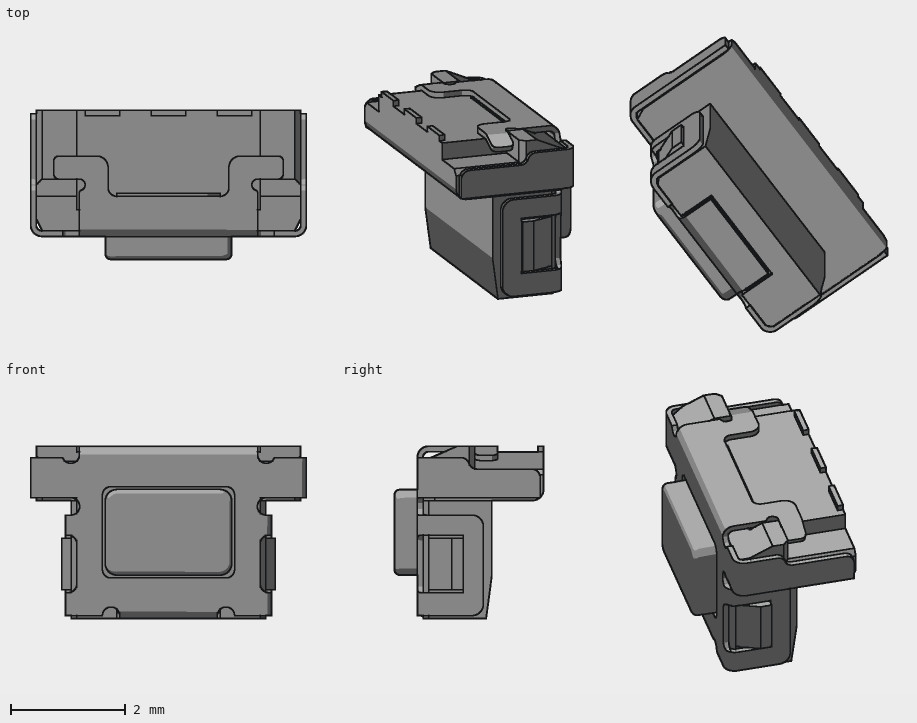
import cadquery as cq
import math


sheet = 0.1
bend_outer = 0.2
bend_inner = bend_outer - sheet
relief_radius = 0.15

upper_half_width = 2.4
upper_bottom = 2.1
upper_top = 2.8
upper_depth = 2.14
upper_wall_rear_top = 2.6
step_center_y = 1.04
step_radius = 0.15

lower_half_width = 1.795
lower_bottom = 0.05
lower_top = 1.8
lower_depth = 1.15
lower_corner_radius = 0.2

snap_bottom = 0.45
snap_top = 1.45
snap_rear = 0.8
snap_corner_radius = 0.15

height = 3.0
flange_half_width = upper_half_width - sheet
flange_bottom = 2.05
flange_depth = 2.2
flange_rear_radius = 0.2
stem_half_width = lower_half_width - sheet
stem_depth = 1.3
stem_foot_depth = 1.2
stem_taper_height = 0.75
base_front = sheet
edge_chamfer = 0.1
flange_chamfer_depth = 0.2
deck_top = height - sheet
deck_half_width = stem_half_width - edge_chamfer
shelf_top = 2.6
wing_rear = 1.0
ramp_rear = 0.7
ramp_front_height = 2.74

stop_width = 0.6
stop_depth = 0.1
stop_pitch = 1.15

latch_half_width = 1.86
latch_clearance = 0.05
latch_crest = 0.6

button_width = 2.2
button_height = 1.49
button_center_z = 1.5
button_travel = 0.4
button_corner_radius = 0.2
button_edge_radius = 0.1
button_clearance = 0.05
window_corner_radius = 0.15

tab_half_width = 1.55
tab_rear = 0.7
arm_rear = 1.4
arm_inner = 1.05
arm_corner_radius = 0.2
arm_root_radius = 0.15
arm_notch_radius = 0.1
arm_notch_blend = 0.05
arm_bend_start = 1.57
arm_bend_radius = 0.33
arm_bend_angle = 24.0
arm_end = 2.0
arm_end_radius = 0.1
foot_half_width = 0.85
tab_clearance = 0.05
foot_relief_z = lower_bottom
top_relief_z = 2.85

pocket_half_width = 0.9
pocket_front = 0.6
pocket_rear = tab_rear + tab_clearance
hump_top = 2.6
hump_flat_half_width = 0.64
hump_radius = 0.2

margin = 0.5


def block(x_min, x_max, y_min, y_max, z_min, z_max):
    """Box between two opposite corners."""
    size = (x_max - x_min, y_max - y_min, z_max - z_min)
    return cq.Workplane("XY").box(*size, centered=False).translate((x_min, y_min, z_min))


def wide_block(half_width, y_min, y_max, z_min, z_max):
    """Box symmetric about X = 0."""
    return block(-half_width, half_width, y_min, y_max, z_min, z_max)


def both_sides(body):
    """The body together with its mirror image about X = 0."""
    return body.union(body.mirror("YZ"))


def extrude_across(profile, half_width):
    """Extrude a YZ profile symmetrically along X."""
    return profile.extrude(half_width, both=True)


def front_cylinder(x, z, radius, y_min, y_max):
    """Cylinder along Y."""
    disc = cq.Workplane("XZ", origin=(0, y_min, 0)).center(x, z).circle(radius)
    return disc.extrude(y_min - y_max)


def make_flange():
    """Wide upper part: shelves at the rear, a raised deck between them, two wings at the front."""
    body = wide_block(flange_half_width, base_front, flange_depth, flange_bottom, shelf_top)
    body = body.faces(">Y").edges("<Z").fillet(flange_rear_radius)
    body = body.faces(">Z").edges("|Y").chamfer(edge_chamfer)
    deck = wide_block(deck_half_width, base_front, flange_depth, shelf_top, deck_top)
    wing = block(deck_half_width, flange_half_width, base_front, wing_rear, flange_bottom, height)
    wing = wing.edges(">X and >Y").chamfer(edge_chamfer)
    body = body.union(deck).union(both_sides(wing))

    ramp = (
        cq.Workplane("YZ")
        .moveTo(ramp_rear, height)
        .lineTo(base_front, ramp_front_height)
        .lineTo(base_front, height)
        .close()
    )
    body = body.cut(extrude_across(ramp, upper_half_width))

    corner = (
        cq.Workplane("XY", origin=(0, 0, flange_bottom))
        .moveTo(flange_half_width, base_front)
        .lineTo(flange_half_width, base_front + flange_chamfer_depth)
        .lineTo(flange_half_width - edge_chamfer, base_front)
        .close()
        .extrude(height - flange_bottom)
    )
    return body.cut(both_sides(corner))


def make_stem():
    """Narrow lower part, tapering at the rear towards its foot."""
    profile = (
        cq.Workplane("YZ")
        .moveTo(base_front, 0)
        .lineTo(stem_foot_depth, 0)
        .lineTo(stem_depth, stem_taper_height)
        .lineTo(stem_depth, shelf_top)
        .lineTo(base_front, shelf_top)
        .close()
    )
    stem = extrude_across(profile, stem_half_width)
    return stem.faces("<Y").edges("|Z").chamfer(edge_chamfer)


def make_stops():
    stops = cq.Workplane("XY")
    for index in (-1, 0, 1):
        stop = wide_block(stop_width / 2, flange_depth - stop_depth, flange_depth, deck_top, height)
        stops = stops.union(stop.translate((index * stop_pitch, 0, 0)))
    return stops


def make_latches():
    latch = (
        cq.Workplane("XY", origin=(0, 0, snap_bottom + latch_clearance))
        .moveTo(stem_half_width, base_front + edge_chamfer)
        .lineTo(latch_half_width, latch_crest)
        .lineTo(latch_half_width, snap_rear)
        .lineTo(stem_half_width, snap_rear)
        .close()
        .extrude(snap_top - snap_bottom - 2 * latch_clearance)
    )
    return both_sides(latch)


def make_pocket():
    """Narrow pocket in the deck; its floor is a hump with 45 degree flanks."""
    flank_run = pocket_half_width - hump_flat_half_width
    low = hump_top - flank_run
    hump = (
        cq.Workplane("XZ", origin=(0, pocket_rear, 0))
        .moveTo(-pocket_half_width, low)
        .lineTo(-hump_flat_half_width, hump_top)
        .lineTo(hump_flat_half_width, hump_top)
        .lineTo(pocket_half_width, low)
        .close()
        .extrude(pocket_rear - pocket_front)
    )
    hump = hump.faces(">Z").edges("|Y").fillet(hump_radius)
    room = wide_block(pocket_half_width, pocket_front, pocket_rear, low, deck_top)
    return room.cut(hump)


def make_foot_seat():
    """Recess for the bottom tab of the cover, bevelled where the tab bends."""
    seat_rear = tab_rear + tab_clearance
    seat = (
        cq.Workplane("YZ")
        .moveTo(base_front, 0)
        .lineTo(seat_rear, 0)
        .lineTo(seat_rear, sheet)
        .lineTo(bend_outer, sheet)
        .lineTo(base_front, bend_outer)
        .close()
    )
    return extrude_across(seat, foot_half_width + tab_clearance)


def make_base():
    base = make_flange().union(make_stem()).union(make_stops()).union(make_latches())
    return base.cut(make_foot_seat()).cut(make_pocket())


def make_button():
    button = (
        cq.Workplane("XZ", origin=(0, base_front, 0))
        .center(0, button_center_z)
        .rect(button_width, button_height)
        .extrude(base_front + button_travel)
    )
    button = button.edges("|Y").fillet(button_corner_radius)
    return button.faces("<Y").edges().fillet(button_edge_radius)


def make_channel(half_width, depth, z_min, z_max):
    """U-shaped sheet: a front plate with both sides bent to the rear."""
    outer = wide_block(half_width, 0, depth, z_min, z_max)
    outer = outer.faces("<Y").edges("|Z").fillet(bend_outer)
    inner = wide_block(half_width - sheet, sheet, depth + margin, z_min, z_max)
    inner = inner.faces("<Y").edges("|Z").fillet(bend_inner)
    return outer.cut(inner)


def make_upper_channel():
    """Upper U with side walls that step down towards the rear along an S-curve."""
    channel = make_channel(upper_half_width, upper_depth, upper_bottom, upper_top)
    rise = (upper_top - upper_wall_rear_top) / 2
    run = math.sqrt(step_radius**2 - (step_radius - rise) ** 2)
    half_angle = math.acos(1 - rise / step_radius) / 2
    sag_y = step_radius * math.sin(half_angle)
    sag_z = step_radius * (1 - math.cos(half_angle))
    end_y = step_center_y - 2 * run
    rear_corner = (upper_depth, upper_wall_rear_top - step_radius)
    corner_reach = step_radius * math.sqrt(0.5)
    rear_arc_middle = (upper_depth - step_radius + corner_reach, rear_corner[1] + corner_reach)
    removed = (
        cq.Workplane("YZ")
        .moveTo(end_y, upper_top)
        .threePointArc(
            (end_y + sag_y, upper_top - sag_z), (end_y + run, upper_top - rise)
        )
        .threePointArc(
            (step_center_y - sag_y, upper_wall_rear_top + sag_z),
            (step_center_y, upper_wall_rear_top),
        )
        .lineTo(upper_depth - step_radius, upper_wall_rear_top)
        .threePointArc(rear_arc_middle, rear_corner)
        .lineTo(upper_depth + margin, rear_corner[1])
        .lineTo(upper_depth + margin, upper_top)
        .close()
    )
    return channel.cut(extrude_across(removed, upper_half_width))


def make_lower_channel():
    """Lower U with snap windows in its sides, relieved from the upper U."""
    channel = make_channel(lower_half_width, lower_depth, lower_bottom, upper_bottom)
    relief_z = (lower_top + upper_bottom) / 2
    slot = block(stem_half_width, upper_half_width, 0, lower_depth, lower_top, upper_bottom)
    slot = slot.union(front_cylinder(stem_half_width, relief_z, relief_radius, 0, bend_outer))
    channel = channel.cut(both_sides(slot))
    channel = channel.faces(">Y").edges("|X").fillet(lower_corner_radius)

    window_inner = deck_half_width
    front_part = block(window_inner, upper_half_width, 0, sheet, snap_bottom, snap_top)
    front_part = front_part.faces("<X").edges("|Y").fillet(snap_corner_radius)
    side_part = block(window_inner, upper_half_width, sheet, snap_rear, snap_bottom, snap_top)
    return channel.cut(both_sides(front_part.union(side_part)))


def make_bent_tab(half_width, rear, edge_z, up):
    """Tab bent rearward from the front plate, upward (up = 1) or downward (-1), to the level edge_z."""
    center_z = edge_z - up * bend_outer
    diagonal = math.sqrt(0.5)
    profile = (
        cq.Workplane("YZ")
        .moveTo(0, center_z)
        .threePointArc(
            (bend_outer * (1 - diagonal), center_z + up * bend_outer * diagonal),
            (bend_outer, edge_z),
        )
        .lineTo(rear, edge_z)
        .lineTo(rear, edge_z - up * sheet)
        .lineTo(bend_outer, edge_z - up * sheet)
        .threePointArc(
            (bend_outer - bend_inner * diagonal, center_z + up * bend_inner * diagonal),
            (sheet, center_z),
        )
        .close()
    )
    return extrude_across(profile, half_width)


def make_tab_root(half_width, edge_z, up, relief_z):
    """Wide start of a bent tab, from the plate to the level of its relief centres."""
    wide = half_width + relief_radius
    z_low, z_high = sorted((relief_z, edge_z - up * bend_outer))
    return make_bent_tab(wide, tab_rear, edge_z, up).intersect(wide_block(wide, 0, sheet, z_low, z_high))


def make_arm_tip():
    """End of a top arm: a shallow downward bend followed by a straight sloping stretch."""
    angle = math.radians(arm_bend_angle)
    center_z = height - arm_bend_radius
    inner_radius = arm_bend_radius - sheet

    def on_bend(radius, turn):
        return (arm_bend_start + radius * math.sin(turn), center_z + radius * math.cos(turn))

    bend_end = on_bend(arm_bend_radius, angle)
    end_z = bend_end[1] - (arm_end - bend_end[0]) * math.tan(angle)
    tip = (
        cq.Workplane("XZ", origin=(0, arm_rear, 0))
        .moveTo(tab_half_width, height)
        .lineTo(arm_bend_start, height)
        .threePointArc(on_bend(arm_bend_radius, angle / 2), bend_end)
        .lineTo(arm_end, end_z)
        .lineTo(arm_end - sheet * math.sin(angle), end_z - sheet * math.cos(angle))
        .lineTo(*on_bend(inner_radius, angle))
        .threePointArc(on_bend(inner_radius, angle / 2), (arm_bend_start, deck_top))
        .lineTo(tab_half_width, deck_top)
        .close()
        .extrude(arm_rear - wing_rear)
    )
    return tip.faces(">X").edges("not |Y").fillet(arm_end_radius)


def make_top_tab():
    """Top tab with two arms that reach rearward and dip at their outer ends."""
    tab = make_bent_tab(tab_half_width, arm_rear, height, 1)
    gap = wide_block(arm_inner, tab_rear, arm_rear, deck_top, height)
    gap = gap.faces("<Y").edges("|Z").fillet(arm_root_radius)
    tab = tab.cut(gap)
    arm_corner = cq.selectors.BoxSelector(
        (-arm_inner - margin / 2, arm_rear - sheet, deck_top - sheet),
        (arm_inner + margin / 2, arm_rear + sheet, height + sheet),
    )
    tab = tab.edges("|Z").edges(arm_corner).fillet(arm_corner_radius)
    notch = (
        cq.Workplane("XY", origin=(0, 0, deck_top))
        .center(tab_half_width, wing_rear - arm_notch_radius)
        .circle(arm_notch_radius)
        .extrude(sheet)
    )
    tab = tab.cut(both_sides(notch))
    notch_front = wing_rear - 2 * arm_notch_radius
    for side in (-1, 1):
        corner = cq.Vector(side * tab_half_width, notch_front, (deck_top + height) / 2)
        tab = tab.edges("|Z").edges(cq.selectors.NearestToPointSelector(corner)).fillet(arm_notch_blend)
    return tab.union(both_sides(make_arm_tip()))


def make_cover():
    cover = make_upper_channel().union(make_lower_channel())

    button_window = wide_block(
        button_width / 2 + button_clearance,
        0,
        sheet,
        button_center_z - button_height / 2 - button_clearance,
        button_center_z + button_height / 2 + button_clearance,
    )
    cover = cover.cut(button_window.edges("|Y").fillet(window_corner_radius))

    foot_root = make_tab_root(foot_half_width, 0, -1, foot_relief_z)
    top_root = make_tab_root(tab_half_width, height, 1, top_relief_z)
    foot_room = wide_block(foot_half_width + relief_radius, 0, sheet, lower_bottom, bend_outer)
    cover = cover.cut(foot_room).union(foot_root).union(top_root)
    for half_width, relief_z in ((foot_half_width, foot_relief_z), (tab_half_width, top_relief_z)):
        relief = front_cylinder(half_width + relief_radius, relief_z, relief_radius, 0, sheet)
        cover = cover.cut(both_sides(relief))

    foot = make_bent_tab(foot_half_width, tab_rear, 0, -1)
    return cover.union(foot).union(make_top_tab())


result = make_base().union(make_button()).union(make_cover())